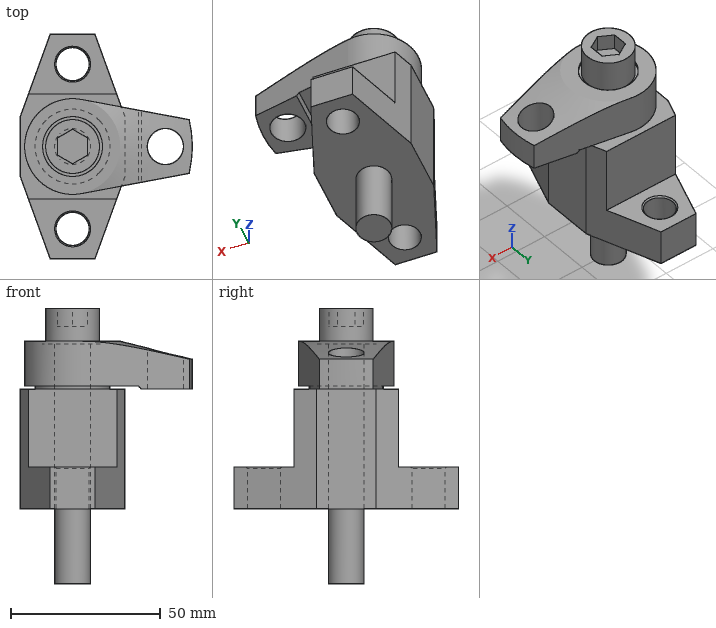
import cadquery as cq
import math


base_width = 35.0
base_length = 75.0
base_height = 40.0
side_flat_length = 20.0
ear_end_width = 15.0
ear_height = 14.0
block_length = 35.0
ear_hole_spacing = 55.0
ear_hole_diameter = 11.0
ear_hole_rim_diameter = 12.0
ear_hole_chamfer = (ear_hole_rim_diameter - ear_hole_diameter) / 2

shank_diameter = 12.0
shank_length = 80.0
head_diameter = 18.0
head_height = 12.0
socket_across_flats = 10.0
socket_depth = 6.0

hub_radius = 16.0
hub_thickness = 15.0
pad_diameter = 25.0
pad_height = 1.0
spot_face_diameter = 20.0
spot_face_depth = 1.0
tip_radius = 40.0
tip_width = 18.0
tip_height = 10.0
tip_hole_x = 31.0
tip_hole_diameter = 12.0
foot_start_x = 23.0

arm_bottom = base_height + pad_height
arm_top = arm_bottom + hub_thickness
tip_top = base_height + tip_height
head_seat = arm_top - spot_face_depth


def cylinder(diameter, bottom, height):
    """Upright cylinder on the screw axis."""
    return cq.Workplane("XY").workplane(offset=bottom).circle(diameter / 2).extrude(height)


def make_base():
    outline = [
        (base_width / 2, side_flat_length / 2),
        (ear_end_width / 2, base_length / 2),
        (-ear_end_width / 2, base_length / 2),
        (-base_width / 2, side_flat_length / 2),
        (-base_width / 2, -side_flat_length / 2),
        (-ear_end_width / 2, -base_length / 2),
        (ear_end_width / 2, -base_length / 2),
        (base_width / 2, -side_flat_length / 2),
    ]
    plate = (
        cq.Workplane("XY")
        .polyline(outline)
        .close()
        .pushPoints([(0, ear_hole_spacing / 2), (0, -ear_hole_spacing / 2)])
        .circle(ear_hole_diameter / 2)
        .extrude(ear_height)
    )
    plate = plate.faces(">Z").edges("%CIRCLE").chamfer(ear_hole_chamfer)

    middle = cq.Workplane("XY").rect(base_width, block_length).extrude(base_height)
    block = cq.Workplane("XY").polyline(outline).close().extrude(base_height).intersect(middle)
    body = plate.union(block)
    return body.cut(cylinder(shank_diameter, 0, base_height))


def make_arm_outline():
    """Round hub with two tangent sides that narrow to an arc centred on the screw axis."""
    tip_y = tip_width / 2
    tip_x = math.sqrt(tip_radius**2 - tip_y**2)
    tangent_angle = math.atan2(tip_y, tip_x) + math.acos(hub_radius / tip_radius)
    tangent_x = hub_radius * math.cos(tangent_angle)
    tangent_y = hub_radius * math.sin(tangent_angle)
    return (
        cq.Workplane("XY")
        .workplane(offset=base_height)
        .moveTo(tangent_x, tangent_y)
        .threePointArc((-hub_radius, 0), (tangent_x, -tangent_y))
        .lineTo(tip_x, -tip_y)
        .threePointArc((tip_radius, 0), (tip_x, tip_y))
        .close()
    )


def make_arm():
    arm = make_arm_outline().extrude(arm_top - base_height)

    cone_slope = (arm_top - tip_top) / (tip_radius - hub_radius)
    rim_radius = tip_radius + hub_radius
    rim_z = arm_top - cone_slope * (rim_radius - hub_radius)
    above_cone = (
        cq.Workplane("XZ")
        .polyline([(hub_radius, arm_top), (rim_radius, arm_top), (rim_radius, rim_z)])
        .close()
        .revolve(360, (0, 0), (0, 1))
    )
    arm = arm.cut(above_cone)

    raised_underside = (
        cq.Workplane("XZ")
        .polyline([
            (-hub_radius, base_height),
            (foot_start_x, base_height),
            (foot_start_x - pad_height, arm_bottom),
            (-hub_radius, arm_bottom),
        ])
        .close()
        .extrude(hub_radius, both=True)
    )
    arm = arm.cut(raised_underside)
    arm = arm.union(cylinder(pad_diameter, base_height, pad_height))

    tip_hole = cylinder(tip_hole_diameter, base_height, hub_thickness).translate((tip_hole_x, 0, 0))
    arm = arm.cut(tip_hole)
    arm = arm.cut(cylinder(spot_face_diameter, head_seat, spot_face_depth))
    return arm.cut(cylinder(shank_diameter, base_height, head_seat - base_height))


def make_screw():
    shank = cylinder(shank_diameter, head_seat - shank_length, shank_length)
    head = cylinder(head_diameter, head_seat, head_height)
    socket_across_corners = socket_across_flats / math.cos(math.pi / 6)
    socket = (
        cq.Workplane("XY")
        .workplane(offset=head_seat + head_height - socket_depth)
        .transformed(rotate=(0, 0, 30))
        .polygon(6, socket_across_corners)
        .extrude(socket_depth)
    )
    return shank.union(head).cut(socket)


base = make_base()
arm = make_arm()
screw = make_screw()

result = cq.Compound.makeCompound([base.val(), arm.val(), screw.val()])